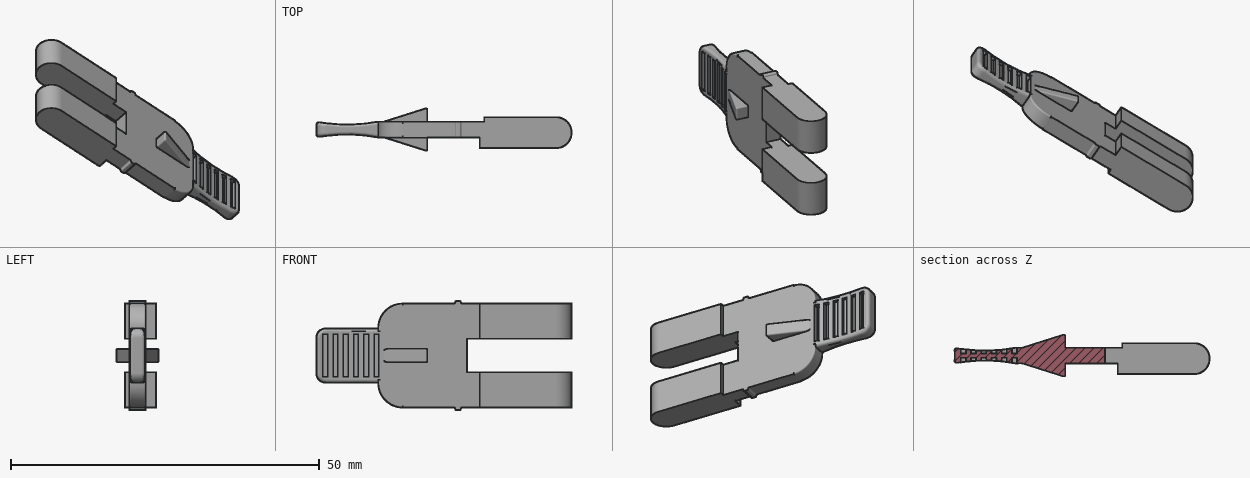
import cadquery as cq
TOTAL_LENGTH = 41.35

PLATE_START = 10.0
PLATE_WIDTH = 16.85
PLATE_THICKNESS = 2.6
PLATE_CORNER_RADIUS = 4.0
PLATE_EDGE_FILLET = 0.25

FORK_GAP_START = 24.43
FORK_GAP_WIDTH = 5.37
ARM_FRONT_START = 26.4
ARM_BACK_START = 27.15
ARM_FRONT_Y = -3.0
ARM_BACK_Y = 2.03

GRIP_WIDTH = 8.8
GRIP_WAIST = 1.65
GRIP_CORNER_RADIUS = 1.53
GRIP_EDGE_FILLET = 0.5

GROOVE_COUNT = 6
GROOVE_START = 1.07
GROOVE_PITCH = 1.65
GROOVE_WIDTH = 0.8
GROOVE_MARGIN = 1.0
GROOVE_CORE = 0.75

CATCH_START = 11.0
CATCH_END = 17.98
CATCH_WIDTH = 2.2
CATCH_SPAN = 7.03
CATCH_FILLET = 0.25

NUB_CENTER = 22.95
NUB_WIDTH = 0.95
NUB_HEIGHT = 0.4
NUB_FOOT_RADIUS = 0.15
NUB_TOP_RADIUS = NUB_HEIGHT - NUB_FOOT_RADIUS


def centered_box(x_start, x_end, y_start, y_end, width):
    """Box between the given X and Y limits, centred on Z = 0."""
    return cq.Workplane("XY").box(
        x_end - x_start, y_end - y_start, width, centered=(False, False, True)
    ).translate((x_start, y_start, 0))


def make_plate():
    """Plate with two rounded corners, softened only along the curved rims."""
    half = PLATE_THICKNESS / 2
    curve_end = PLATE_START + PLATE_CORNER_RADIUS
    straight_width = GRIP_WIDTH - 2 * GRIP_EDGE_FILLET
    plate = centered_box(PLATE_START, ARM_BACK_START, -half, half, PLATE_WIDTH)
    plate = plate.edges("<X and |Y").fillet(PLATE_CORNER_RADIUS)
    plate = plate.faces("<X").edges("|Z").fillet(PLATE_EDGE_FILLET)
    sharp_sides = centered_box(curve_end, ARM_BACK_START, -half, half, PLATE_WIDTH)
    sharp_start = centered_box(PLATE_START, curve_end, -half, half, straight_width)
    return plate.union(sharp_sides).union(sharp_start)


def make_arms():
    """Full-width block for both arms, with a round end and stepped start."""
    front = centered_box(ARM_FRONT_START, TOTAL_LENGTH, ARM_FRONT_Y, 0, PLATE_WIDTH)
    back = centered_box(ARM_BACK_START, TOTAL_LENGTH, 0, ARM_BACK_Y, PLATE_WIDTH)
    end_radius = (ARM_BACK_Y - ARM_FRONT_Y) / 2
    center_y = (ARM_BACK_Y + ARM_FRONT_Y) / 2
    end_start = TOTAL_LENGTH - end_radius
    envelope = centered_box(ARM_FRONT_START, end_start, ARM_FRONT_Y, ARM_BACK_Y, PLATE_WIDTH)
    round_end = (
        cq.Workplane("XY")
        .center(end_start, center_y)
        .circle(end_radius)
        .extrude(PLATE_WIDTH / 2, both=True)
    )
    return front.union(back).intersect(envelope.union(round_end))


def make_grip():
    """Waisted grip with concave faces, rounded corners and softened rims."""
    half = PLATE_THICKNESS / 2
    waist = GRIP_WAIST / 2
    middle = PLATE_START / 2
    grip = (
        cq.Workplane("XY")
        .moveTo(0, -half)
        .threePointArc((middle, -waist), (PLATE_START, -half))
        .lineTo(PLATE_START, half)
        .threePointArc((middle, waist), (0, half))
        .close()
        .extrude(GRIP_WIDTH / 2, both=True)
    )
    outline = centered_box(0, PLATE_START, -half, half, GRIP_WIDTH)
    outline = outline.edges("<X and |Y").fillet(GRIP_CORNER_RADIUS)
    grip = grip.intersect(outline)
    rims = grip.faces("%CYLINDER and (>Y or <Y)").edges("not(>X)")
    return rims.fillet(GRIP_EDGE_FILLET)


def make_grooves():
    """Cutters for the flat-bottomed grooves on both faces of the grip."""
    half = PLATE_THICKNESS / 2
    core = GROOVE_CORE / 2
    length = GRIP_WIDTH - 2 * GROOVE_MARGIN
    cutters = cq.Workplane("XY")
    for index in range(GROOVE_COUNT):
        start = GROOVE_START + index * GROOVE_PITCH
        end = start + GROOVE_WIDTH
        cutters = cutters.union(centered_box(start, end, core, half, length))
        cutters = cutters.union(centered_box(start, end, -half, -core, length))
    return cutters


def make_catch():
    """Wedge on the +Y face, rising to a blunt end, with its exposed edges rounded."""
    surface = PLATE_THICKNESS / 2
    catch = (
        cq.Workplane("XY")
        .moveTo(CATCH_START, surface)
        .lineTo(CATCH_END, CATCH_SPAN / 2)
        .lineTo(CATCH_END, 0)
        .lineTo(CATCH_START, 0)
        .close()
        .extrude(CATCH_WIDTH / 2, both=True)
    )
    return catch.faces(">Y or >X").edges("not(<X or <Y)").fillet(CATCH_FILLET)


def make_nub():
    """Rounded ridge across the plate thickness, on the +Z edge, with flared feet."""
    base = PLATE_WIDTH / 2
    top = base + NUB_HEIGHT
    wall = NUB_WIDTH / 2
    foot = wall + NUB_FOOT_RADIUS
    crest = wall - NUB_TOP_RADIUS
    wall_z = base + NUB_FOOT_RADIUS
    return (
        cq.Workplane("XZ")
        .center(NUB_CENTER, 0)
        .moveTo(-foot, base)
        .radiusArc((-wall, wall_z), -NUB_FOOT_RADIUS)
        .radiusArc((-crest, top), NUB_TOP_RADIUS)
        .lineTo(crest, top)
        .radiusArc((wall, wall_z), NUB_TOP_RADIUS)
        .radiusArc((foot, base), -NUB_FOOT_RADIUS)
        .lineTo(foot, base - NUB_HEIGHT)
        .lineTo(-foot, base - NUB_HEIGHT)
        .close()
        .extrude(PLATE_THICKNESS / 2, both=True)
    )


fork_gap = centered_box(FORK_GAP_START, TOTAL_LENGTH, ARM_FRONT_Y, ARM_BACK_Y, FORK_GAP_WIDTH)
catch = make_catch()
nub = make_nub()

body = make_plate().union(make_arms()).cut(fork_gap)
body = body.union(make_grip()).cut(make_grooves())
body = body.union(catch).union(catch.mirror("XZ"))
result = body.union(nub).union(nub.mirror("XY"))